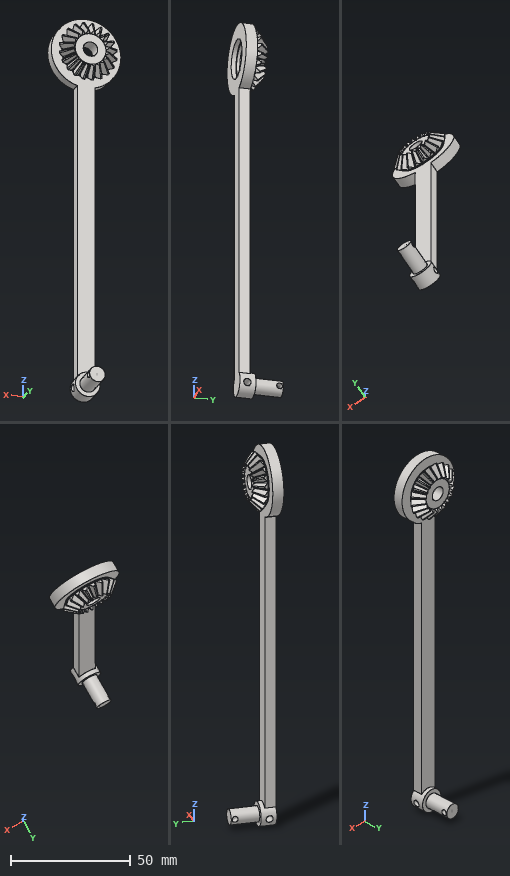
import cadquery as cq
import math


overall_length = 171.0
arm_thickness = 5.0
disc_diameter = 31.0
bar_width = 7.9

front_hole_diameter = 17.1
front_hole_depth = 2.0
inner_hole_diameter = 15.0

boss_diameter = 11.0
boss_length = 7.0
boss_hole_diameter = 3.0
boss_hole_from_front = 3.2
boss_hole_drop = 0.9
pin_diameter = 7.0
pin_end = 19.5
pin_hole_diameter = 2.5
pin_hole_from_end = 1.7
axis_distance = overall_length - disc_diameter / 2 - boss_diameter / 2
boss_z = -axis_distance

bore_diameter = 6.3
tooth_count = 20
gear_diameter = 25.6
gear_module = 1.2
hub_diameter = 20.9
hub_front = 3.5
pitch_height = 1.62
small_end_ratio = 0.62
addendum = 1.2 * gear_module
dedendum = 1.15 * gear_module
tip_half_width = 0.3 * gear_module
root_half_width = 1.25 * gear_module
tooth_embedment = 0.2
pitch_radius = gear_module * tooth_count / 2
pitch_y = arm_thickness + pitch_height
apex_y = pitch_y + pitch_radius
cone_step = math.sqrt(0.5)
root_radius = pitch_radius - dedendum * cone_step
root_y = pitch_y - dedendum * cone_step


def cylinder(diameter, y_start, y_end, z=0.0):
    """Cylinder along Y between two Y positions."""
    return cq.Workplane("XZ", origin=(0, y_start, z)).circle(diameter / 2).extrude(y_start - y_end)


def cross_hole(diameter, y, z):
    """Cutter along X, long enough to pass through the boss."""
    return cq.Workplane("YZ").center(y, z).circle(diameter / 2).extrude(boss_diameter, both=True)


def make_arm():
    disc = cylinder(disc_diameter, 0, arm_thickness)
    bar = (
        cq.Workplane("XY", origin=(0, 0, boss_z))
        .box(bar_width, arm_thickness, axis_distance, centered=(True, False, False))
    )
    boss = cylinder(boss_diameter, 0, boss_length, boss_z)
    pin = cylinder(pin_diameter, 0, pin_end, boss_z)
    arm = disc.union(bar).union(boss).union(pin)

    arm = arm.cut(cylinder(front_hole_diameter, 0, front_hole_depth))
    arm = arm.cut(cylinder(inner_hole_diameter, 0, hub_front))
    arm = arm.cut(cylinder(hub_diameter, hub_front, arm_thickness))
    arm = arm.cut(cross_hole(boss_hole_diameter, boss_hole_from_front, boss_z - boss_hole_drop))
    return arm.cut(cross_hole(pin_hole_diameter, pin_end - pin_hole_from_end, boss_z))


def make_gear_blank():
    """Hub and root cone, turned around the gear axis."""
    small_root_radius = root_radius * small_end_ratio
    small_root_y = apex_y - (apex_y - root_y) * small_end_ratio
    hub_radius = hub_diameter / 2
    bore_radius = bore_diameter / 2
    profile = [
        (bore_radius, hub_front),
        (hub_radius, hub_front),
        (hub_radius, root_y),
        (root_radius, root_y),
        (small_root_radius, small_root_y),
        (bore_radius, small_root_y),
    ]
    return cq.Workplane("XY").polyline(profile).close().revolve(360, (0, 0, 0), (0, 1, 0))


def tooth_section(scale):
    """Tooth outline square to the pitch cone, shrunk toward the apex by the given scale."""
    def point(height, half_width):
        radius = pitch_radius + height * cone_step
        y = pitch_y + height * cone_step
        return cq.Vector(radius * scale, apex_y - (apex_y - y) * scale, half_width * scale)

    root_height = -dedendum - tooth_embedment
    corners = [
        point(root_height, -root_half_width),
        point(addendum, -tip_half_width),
        point(addendum, tip_half_width),
        point(root_height, root_half_width),
    ]
    return cq.Wire.makePolygon(corners, close=True)


def make_gear():
    tooth = cq.Solid.makeLoft([tooth_section(1), tooth_section(small_end_ratio)], True)
    gear = make_gear_blank()
    pitch_angle = 360 / tooth_count
    for index in range(tooth_count):
        angle = (index + 0.5) * pitch_angle
        gear = gear.union(cq.Workplane(tooth.rotate(cq.Vector(0, 0, 0), cq.Vector(0, 1, 0), angle)))
    return gear.intersect(cylinder(gear_diameter, hub_front, apex_y))


arm = make_arm()
bevel_gear = make_gear()

result = cq.Compound.makeCompound([arm.val(), bevel_gear.val()])